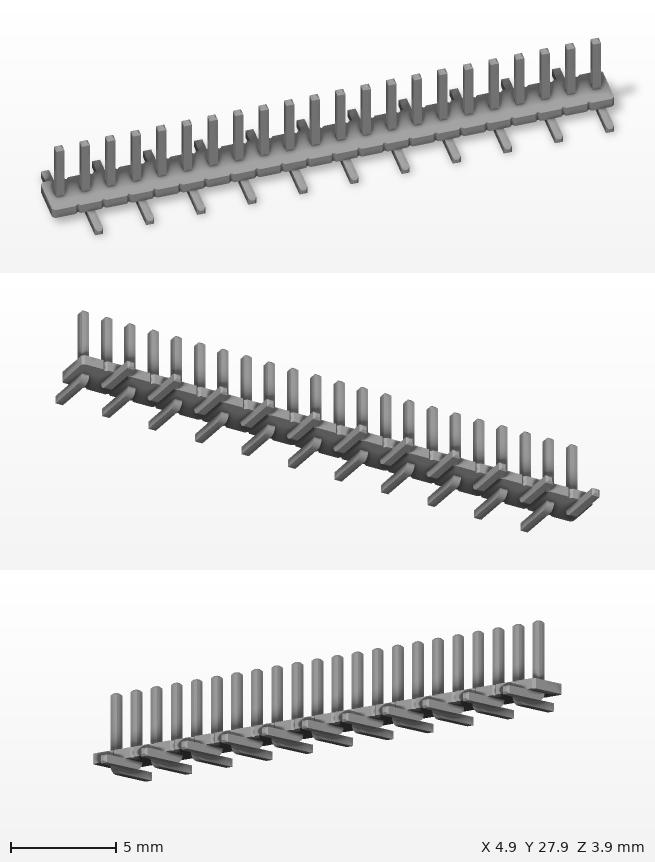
import cadquery as cq

pin_count = 22
pitch = 1.27

overall_width = 4.9
overall_height = 3.9

body_width = 2.1
body_height = 0.5
cell_bevel = pitch / 10

wire = 0.4
bend_radius = wire
tip_length = 0.1
tip_width = wire / 2

leg_reach = overall_width / 2


def cell_y(index):
    """Y position of a pin cell, counted from the -Y end."""
    return (index - (pin_count - 1) / 2) * pitch


def make_cell(y):
    """One bevelled body cell; neighbours meet in V notches."""
    return (
        cq.Workplane("XY", origin=(0, y, wire))
        .rect(body_width, pitch)
        .extrude(body_height)
        .edges("|Z")
        .chamfer(cell_bevel)
    )


def make_tip(base_plane):
    """Square taper from the full wire to the blunt pin end."""
    return (
        cq.Workplane(base_plane)
        .rect(wire, wire)
        .workplane(offset=tip_length)
        .rect(tip_width, tip_width)
        .loft(ruled=True)
    )


def make_pin(side):
    """Bent pin centred on the Z axis; side is +1 or -1, the X direction of its leg."""
    half_wire = wire / 2
    leg_end = side * (leg_reach - tip_length)
    post_end = overall_height - tip_length
    inner_x = side * half_wire
    outer_x = -inner_x
    bend_end_x = outer_x + side * bend_radius

    bent_wire = (
        cq.Workplane("XZ", origin=(0, half_wire, 0))
        .moveTo(leg_end, 0)
        .lineTo(bend_end_x, 0)
        .radiusArc((outer_x, bend_radius), side * bend_radius)
        .lineTo(outer_x, post_end)
        .lineTo(inner_x, post_end)
        .lineTo(inner_x, wire)
        .lineTo(leg_end, wire)
        .close()
        .extrude(wire)
    )
    post_tip = make_tip(cq.Plane((0, 0, post_end), (1, 0, 0), (0, 0, 1)))
    leg_tip = make_tip(cq.Plane((leg_end, 0, half_wire), (0, 1, 0), (side, 0, 0)))
    return bent_wire.union(post_tip).union(leg_tip)


def make_header():
    """Body cells and pins joined, with legs alternating from -X at the -Y end."""
    left_pin = make_pin(-1).val()
    right_pin = make_pin(1).val()
    solids = []
    for index in range(pin_count):
        y = cell_y(index)
        pin = left_pin if index % 2 == 0 else right_pin
        solids.append(make_cell(y).val())
        solids.append(pin.translate(cq.Vector(0, y, 0)))
    return cq.Workplane(solids[0].fuse(*solids[1:]).clean())


result = make_header()